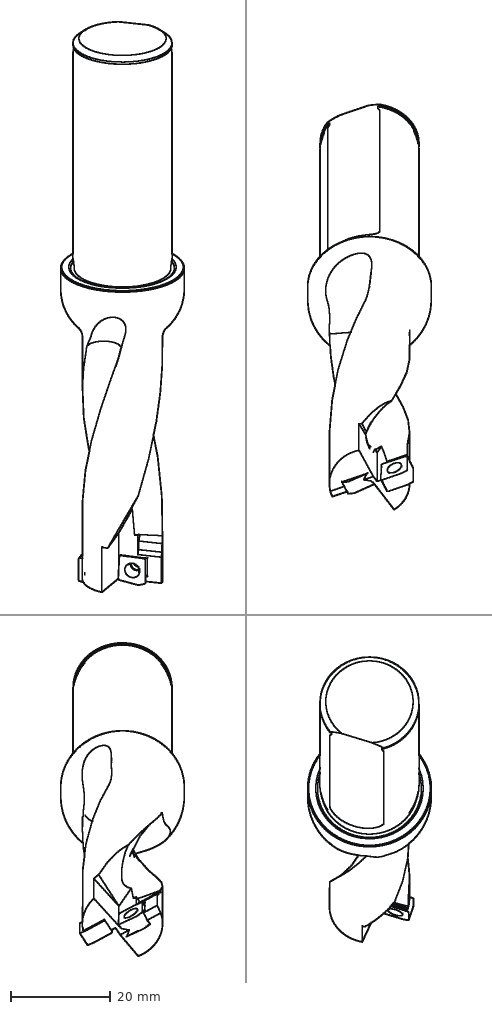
import cadquery as cq
import math


LENGTH = 119.0
SHANK_R = 10.0
SHANK_LENGTH = 50.0
COLLAR_TOP = LENGTH - SHANK_LENGTH
COLLAR_R = 12.5
COLLAR_EDGE = 0.2
COLLAR_LAND = 4.8
COLLAR_BOTTOM = COLLAR_TOP - COLLAR_LAND
GROOVE_R = 9.8
UNDERCUT_R = 9.9
UNDERCUT_HEIGHTS = (0.5, 1.4, 2.0)
FACE_RECESS_DEPTH = 0.2
FACE_RECESS_RADII = (10.5, 10.8)
GROOVE_OFFSETS = (3.1, 2.1, 1.5, 1.4)
END_FACE_R = 8.8
END_CHAMFER = 1.0
FLAT_Y = 8.2
FLAT_BOTTOM = 74.5
FLAT_RUNOUT_R = SHANK_R - FLAT_Y

BODY_R = 8.1
NECK_DROP = COLLAR_R - BODY_R
NECK_BEND = math.radians(45)
NECK_RADII_SUM = NECK_DROP / (1 - math.cos(NECK_BEND))
NECK_CONVEX_R = 10.0
NECK_BOTTOM = COLLAR_BOTTOM - NECK_RADII_SUM * math.sin(NECK_BEND)
BODY_BOTTOM = 0.8

TWIST_RATE = 2.319
FLUTE_BOTTOM = 10.7
FLUTE_TOP = 53.0
FLUTE_TURN = TWIST_RATE * (FLUTE_TOP - FLUTE_BOTTOM)
OUTER_WALL_START = 4.0
OUTER_FLUTE_R = 3.5
OUTER_FLUTE_ANGLE = 183.0
INNER_WALL_START = 4.2
INNER_FLUTE_R = 3.7
INNER_FLUTE_ANGLE = 9.0
REACH = 15.5
FLUTE_REACH = 9.5
RUNOUT_TURN = 12.0
RUNOUT_RISE = 12.1
RUNOUT_OUTWARD = 14.3
TIP_RUNOUT_DROP = 4.2
TIP_RUNOUT_OUTWARD = 1.0

INNER_GASH_CORNER_X = -0.8
INNER_GASH_RIM_X = -2.1
INNER_GASH_TOP = (6.0, 23.8)
OUTER_GASH_CORNER_X = 1.7
OUTER_GASH_RIM_X = 1.1
OUTER_GASH_TOP = (6.9, 20.5)
LEDGE_START_X = 3.2
LEDGE_PROFILE = [(0, 6.5), (0.6, 7.4), (0.8, 9.2), (1.7, FLUTE_BOTTOM)]
TIP_RELIEF_Y = 1.7
TIP_RELIEF_START = 0.5
TIP_RELIEF_RIM = 1.7

INSERT_BACK = 2.7
RAKE_FORWARD = 0.4
INSERT_THICKNESS = INSERT_BACK + RAKE_FORWARD
INSERT_CORNER_R = 0.4
INNER_INSERT_OUTLINE = [(-0.8, 0.7), (3.5, 0.0), (4.9, 0.5), (4.9, 6.0), (-0.6, 6.1)]
INNER_SCREW = (2.1, 3.1)
OUTER_INSERT_OUTLINE = [(2.6, 0.2), (7.0, 0.2), (8.5, 0.6), (8.5, 5.6), (2.7, 5.7)]
OUTER_SCREW = (5.6, 3.0)
SCREW_SINK_D = 3.1
SCREW_HOLE_D = 2.5
THREAD_D = 2.1
THREAD_DEPTH = 1.5
SINK_DEPTH = 1.2
CLEARANCE_X = (4.8, 5.2)
CLEARANCE_Z = (1.9, 6.0)


def turned_blank():
    """Shank, collar, rounded neck and body as one revolved profile."""
    bend_x = NECK_CONVEX_R * (1 - math.cos(NECK_BEND))
    bend_z = NECK_CONVEX_R * math.sin(NECK_BEND)
    half = NECK_BEND / 2
    recess_inner, recess_outer = FACE_RECESS_RADII
    relief_low, relief_mid, relief_high = UNDERCUT_HEIGHTS
    groove_start, groove_floor_start, groove_floor_end, groove_end = GROOVE_OFFSETS
    concave_r = NECK_RADII_SUM - NECK_CONVEX_R
    convex_mid = (
        COLLAR_R - NECK_CONVEX_R * (1 - math.cos(half)),
        COLLAR_BOTTOM - NECK_CONVEX_R * math.sin(half),
    )
    concave_mid = (
        BODY_R + concave_r * (1 - math.cos(half)),
        NECK_BOTTOM + concave_r * math.sin(half),
    )
    return (
        cq.Workplane("XZ")
        .moveTo(0, TIP_RELIEF_START)
        .lineTo(BODY_R, TIP_RELIEF_START)
        .lineTo(BODY_R, NECK_BOTTOM)
        .threePointArc(concave_mid, (COLLAR_R - bend_x, COLLAR_BOTTOM - bend_z))
        .threePointArc(convex_mid, (COLLAR_R, COLLAR_BOTTOM))
        .lineTo(COLLAR_R, COLLAR_TOP - COLLAR_EDGE)
        .lineTo(COLLAR_R - COLLAR_EDGE, COLLAR_TOP)
        .lineTo(recess_outer, COLLAR_TOP)
        .lineTo(recess_inner, COLLAR_TOP - FACE_RECESS_DEPTH)
        .lineTo(GROOVE_R, COLLAR_TOP - FACE_RECESS_DEPTH)
        .lineTo(GROOVE_R, COLLAR_TOP + relief_low)
        .lineTo(UNDERCUT_R, COLLAR_TOP + relief_mid)
        .lineTo(SHANK_R, COLLAR_TOP + relief_high)
        .lineTo(SHANK_R, LENGTH - groove_start)
        .lineTo(GROOVE_R, LENGTH - groove_floor_start)
        .lineTo(GROOVE_R, LENGTH - groove_floor_end)
        .lineTo(SHANK_R, LENGTH - groove_end)
        .lineTo(SHANK_R, LENGTH - END_CHAMFER)
        .lineTo(END_FACE_R, LENGTH)
        .lineTo(0, LENGTH)
        .close()
        .revolve(360, (0, 0, 0), (0, 1, 0))
    )


def shank_flat():
    """Cutter for the clamping flat, with a concave run-out at its lower end."""
    corner = FLAT_RUNOUT_R * (1 - math.sqrt(0.5))
    return (
        cq.Workplane("YZ")
        .moveTo(FLAT_Y, LENGTH)
        .lineTo(FLAT_Y, FLAT_BOTTOM)
        .threePointArc(
            (FLAT_Y + corner, FLAT_BOTTOM - FLAT_RUNOUT_R + corner),
            (SHANK_R, FLAT_BOTTOM - FLAT_RUNOUT_R),
        )
        .lineTo(REACH, FLAT_BOTTOM - FLAT_RUNOUT_R)
        .lineTo(REACH, LENGTH)
        .close()
        .extrude(REACH, both=True)
    )


def outer_flute_section(height, angle, reach):
    """U-shaped slot whose upper wall is a radial plane."""
    r = OUTER_FLUTE_R
    return (
        cq.Workplane("XY", origin=(0, 0, height))
        .transformed(rotate=(0, 0, angle))
        .moveTo(reach, 0)
        .lineTo(OUTER_WALL_START, 0)
        .threePointArc((OUTER_WALL_START - r, -r), (OUTER_WALL_START, -2 * r))
        .lineTo(reach, -2 * r)
        .close()
    )


def inner_flute_section(height, angle, reach):
    """Quarter-open corner with a rounded floor."""
    r = INNER_FLUTE_R
    mid = r * math.sqrt(0.5)
    return (
        cq.Workplane("XY", origin=(0, 0, height))
        .transformed(rotate=(0, 0, angle))
        .moveTo(reach, 0)
        .lineTo(INNER_WALL_START, 0)
        .threePointArc((INNER_WALL_START - mid, mid - r), (INNER_WALL_START - r, -r))
        .lineTo(INNER_WALL_START - r, -reach)
        .lineTo(reach, -reach)
        .close()
    )


def helical_flute(section, angle):
    return section(FLUTE_BOTTOM, angle, FLUTE_REACH).twistExtrude(FLUTE_TOP - FLUTE_BOTTOM, FLUTE_TURN)


def straight_runout(section, height, angle, heading, outward, rise):
    """A flute section driven straight along a line that leads out of the body."""
    direction = math.radians(heading)
    travel = cq.Vector(outward * math.cos(direction), outward * math.sin(direction), rise)
    outline = section(height, angle, REACH).wires().val()
    return cq.Workplane(cq.Solid.extrudeLinear(outline, [], travel))


def collar_runout(section, start_angle):
    """Upper end of a flute, leading out through the collar."""
    angle = start_angle + FLUTE_TURN
    return straight_runout(section, FLUTE_TOP, angle, angle + RUNOUT_TURN, RUNOUT_OUTWARD, RUNOUT_RISE)


def tip_runout(section, angle):
    """Lower end of a flute, leading out onto the gash wall."""
    return straight_runout(section, FLUTE_BOTTOM, angle, angle, TIP_RUNOUT_OUTWARD, -TIP_RUNOUT_DROP)


def tip_gash(corner_x, rim_x, top):
    """Straight opening in front of an insert facing -Y, sloping out of the body at its top."""
    top_x, top_z = top
    front = (
        cq.Workplane("XZ")
        .polyline([
            (corner_x, 0),
            (corner_x, FLUTE_BOTTOM),
            (top_x, top_z),
            (REACH, top_z),
            (REACH, 0),
        ])
        .close()
        .extrude(REACH)
    )
    slanted_wall = (
        cq.Workplane("XY")
        .polyline([(corner_x, 0), (rim_x, -BODY_R), (REACH, -BODY_R), (REACH, 0)])
        .close()
        .extrude(FLUTE_BOTTOM)
    )
    return front.union(slanted_wall)


def flute_ledge():
    """Graded ledge from the deeper flute wall down to the face around the inner insert."""
    return (
        cq.Workplane("YZ", origin=(LEDGE_START_X, 0, 0))
        .polyline([*LEDGE_PROFILE, (0, FLUTE_BOTTOM)])
        .close()
        .extrude(REACH)
    )


def tip_relief():
    """Sloping tip face on the +Y half; the -Y half ends level at BODY_BOTTOM."""
    return (
        cq.Workplane("YZ")
        .polyline([
            (-REACH, 0),
            (-REACH, BODY_BOTTOM),
            (0, BODY_BOTTOM),
            (TIP_RELIEF_Y, TIP_RELIEF_START),
            (BODY_R, TIP_RELIEF_RIM),
            (REACH, 0),
        ])
        .close()
        .extrude(REACH, both=True)
    )


def insert_blank(outline):
    """Insert plate facing -Y."""
    return (
        cq.Workplane("XZ", origin=(0, INSERT_BACK, 0))
        .polyline(outline)
        .close()
        .extrude(INSERT_THICKNESS)
        .edges("|Y")
        .fillet(INSERT_CORNER_R)
    )


def cutting_insert(outline, screw):
    """Insert plate with its countersunk screw hole."""
    x, z = screw
    hole = (
        cq.Workplane("XZ", origin=(x, INSERT_BACK, z))
        .circle(SCREW_HOLE_D / 2)
        .extrude(INSERT_THICKNESS)
    )
    sink = (
        cq.Workplane("XZ", origin=(x, SINK_DEPTH - RAKE_FORWARD, z))
        .circle(SCREW_HOLE_D / 2)
        .workplane(offset=SINK_DEPTH)
        .circle(SCREW_SINK_D / 2)
        .loft()
    )
    return insert_blank(outline).cut(hole).cut(sink)


def thread_hole(screw):
    x, z = screw
    return (
        cq.Workplane("XZ", origin=(x, INSERT_BACK + THREAD_DEPTH, z))
        .circle(THREAD_D / 2)
        .extrude(THREAD_DEPTH)
    )


def pocket_clearance():
    x0, x1 = CLEARANCE_X
    z0, z1 = CLEARANCE_Z
    return (
        cq.Workplane("XY")
        .box(x1 - x0, INSERT_BACK, z1 - z0, centered=False)
        .translate((x0, 0, z0))
    )


def half_turn(shape):
    return shape.rotate((0, 0, 0), (0, 0, 1), 180)


def drill_holder():
    cutters = [
        shank_flat(),
        helical_flute(outer_flute_section, OUTER_FLUTE_ANGLE),
        collar_runout(outer_flute_section, OUTER_FLUTE_ANGLE),
        tip_runout(outer_flute_section, OUTER_FLUTE_ANGLE),
        helical_flute(inner_flute_section, INNER_FLUTE_ANGLE),
        collar_runout(inner_flute_section, INNER_FLUTE_ANGLE),
        tip_gash(INNER_GASH_CORNER_X, INNER_GASH_RIM_X, INNER_GASH_TOP),
        half_turn(tip_gash(OUTER_GASH_CORNER_X, OUTER_GASH_RIM_X, OUTER_GASH_TOP)),
        flute_ledge(),
        tip_relief(),
        insert_blank(INNER_INSERT_OUTLINE),
        pocket_clearance(),
        thread_hole(INNER_SCREW),
        half_turn(insert_blank(OUTER_INSERT_OUTLINE)),
        half_turn(thread_hole(OUTER_SCREW)),
    ]
    holder = turned_blank()
    for cutter in cutters:
        holder = holder.cut(cutter)
    return holder


holder = drill_holder()
inner_insert = cutting_insert(INNER_INSERT_OUTLINE, INNER_SCREW)
outer_insert = half_turn(cutting_insert(OUTER_INSERT_OUTLINE, OUTER_SCREW))

result = cq.Compound.makeCompound([holder.val(), inner_insert.val(), outer_insert.val()])